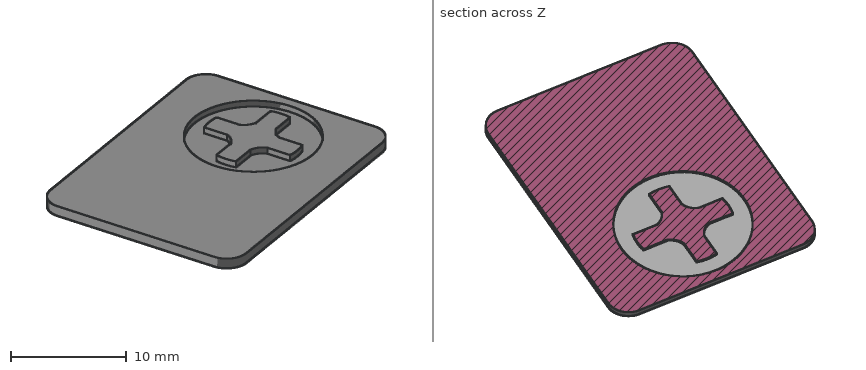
import cadquery as cq
import math

plate_width = 20.0
plate_length = 26.0
plate_thickness = 1.0
corner_radius = 2.0

recess_diameter = 12.0
recess_depth = 0.6
recess_margin = 1.0
recess_y = plate_length / 2 - recess_margin - recess_diameter / 2

cross_diameter = 9.0
arm_width = 2.0
throat_start = 2.05
throat_middle = 1.4


def make_plate():
    """Flat plate with rounded corners, resting on Z = 0."""
    plate = cq.Workplane("XY").rect(plate_width, plate_length).extrude(plate_thickness)
    return plate.edges("|Z").fillet(corner_radius)


def make_cross(height):
    """Four equal arms with rounded tips, joined by curved inner corners."""
    half_arm = arm_width / 2
    tip_radius = cross_diameter / 2
    tip_reach = math.sqrt(tip_radius**2 - half_arm**2)

    def turned(x, y, quarter):
        angle = quarter * math.pi / 2
        return (
            x * math.cos(angle) - y * math.sin(angle),
            x * math.sin(angle) + y * math.cos(angle),
        )

    outline = cq.Workplane("XY").moveTo(tip_reach, -half_arm)
    for quarter in range(4):
        outline = (
            outline.threePointArc(turned(tip_radius, 0, quarter), turned(tip_reach, half_arm, quarter))
            .lineTo(*turned(throat_start, half_arm, quarter))
            .threePointArc(
                turned(throat_middle, throat_middle, quarter),
                turned(half_arm, throat_start, quarter),
            )
            .lineTo(*turned(half_arm, tip_reach, quarter))
        )
    return outline.close().extrude(height)


def make_recess_cutter():
    """Material removed around the cross."""
    disc = cq.Workplane("XY").circle(recess_diameter / 2).extrude(recess_depth)
    ring = disc.cut(make_cross(recess_depth))
    return ring.translate((0, recess_y, plate_thickness - recess_depth))


result = make_plate().cut(make_recess_cutter())